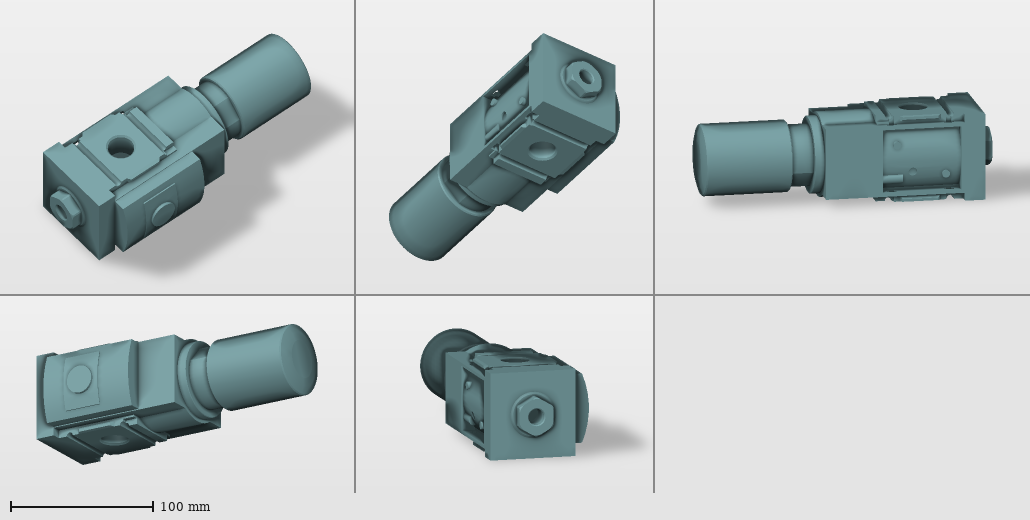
import cadquery as cq
import math


width = 62.0
half_width = width / 2
ledge_half_height = 25.3
housing_length = 114.0
flange_length = 14.5
barrel_radius = 30.1

pad_half_width = 24.3
pad_end = 76.3
port_y = 45.4
port_diameter = 18.6
port_mouth_diameter = 21.1
port_depth = 18.8
groove_offset = 22.0
groove_radius = 2.5
bar_half_width = 20.3
corner_notch_floor = 26.8

tab_reach = 2.7
tab_base_length = 29.7
tab_tip_length = 25.5
tab_thickness = 3.5
tab_chamfer = 1.3
tab_top_fall = 0.5

window_start = 17.1
window_end = 73.4
window_half_height = 23.0
window_back = 21.3
pin_diameter = 5.5
pin_reach = 30.3
upper_pin = (62.7, 11.0)
lower_pin = (27.8, -11.0)
socket_diameter = 6.0
socket_y = 51.5
socket_z = -8.5
socket_floor = 27.5
rod_diameter = 7.0
rod_length = 14.8
rod_x = -26.3
rod_z = -13.4

slot_offset = 20.5
slot_width = 7.1
slot_neck_width = 3.8
slot_outer = 27.2
slot_neck_inner = 22.2

collar_diameter = 55.0
collar_length = 7.0
neck_diameter = 44.0
neck_flat_distance = 20.0
neck_flat_angle = 45
neck_length = 15.5
knob_diameter = 51.0
knob_length = 63.8
knob_edge = 0.8
collar_edge = 0.5
dome_height = 2.3
dome_flat_radius = 13.5
neck_start = housing_length + collar_length
knob_start = neck_start + neck_length

seat_diameter = 33.0
seat_top_diameter = 30.1
seat_height = 1.0
hex_across_flats = 24.9
hex_round_diameter = 28.0
hex_chamfer = 1.0
exhaust_length = 9.0
exhaust_diameter = 11.5
exhaust_mouth_diameter = 13.0
exhaust_depth = 16.7

gauge_half_height = 24.7
gauge_end = 84.3
gauge_shoulder = 40.0
gauge_crown = 45.0
plate_half_height = 19.7
plate_length = 28.0
plate_thickness = 0.8
button_diameter = 20.0
total_width = 78.5
gauge_reach = total_width - half_width


def block(x_range, y_range, z_range):
    """Box given by its limits along each axis."""
    size = [high - low for low, high in (x_range, y_range, z_range)]
    corner = cq.Vector(x_range[0], y_range[0], z_range[0])
    return cq.Workplane(cq.Solid.makeBox(*size, corner))


def rod_along_y(radius, start, end, x=0, z=0):
    """Cylinder parallel to Y."""
    base = cq.Vector(x, start, z)
    return cq.Workplane(cq.Solid.makeCylinder(radius, end - start, base, cq.Vector(0, 1, 0)))


def turned_about_y(points):
    """Solid of revolution about Y from (radius, y) points."""
    return cq.Workplane("XY").polyline(points).close().revolve(360, (0, 0, 0), (0, 1, 0))


def both_sides_z(shape):
    """The shape together with its mirror image below the XY plane."""
    return shape.union(shape.mirror("XY"))


def beside_port(offset):
    """The two Y positions at an equal distance before and behind the port."""
    return [port_y - offset, port_y + offset]


def make_envelope():
    """Square flange, lower main block and the barrel that bulges from it."""
    flange = block((-half_width, half_width), (0, flange_length), (-half_width, half_width))
    main = block(
        (-half_width, half_width),
        (flange_length, housing_length),
        (-ledge_half_height, ledge_half_height),
    )
    barrel = rod_along_y(barrel_radius, pad_end, housing_length)
    return flange.union(main).union(barrel)


def make_pad():
    """Upper port pad with cross grooves, corner notches and end tabs."""
    pad = block((-pad_half_width, pad_half_width), (flange_length, pad_end), (0, half_width))
    for y in beside_port(groove_offset):
        groove = (
            cq.Workplane("YZ", origin=(-half_width, 0, 0))
            .center(y, half_width)
            .circle(groove_radius)
            .extrude(width)
        )
        pad = pad.cut(groove)
    notch_y = (port_y + groove_offset, pad_end)
    for side in (-1, 1):
        notch_x = sorted((side * bar_half_width, side * half_width))
        pad = pad.cut(block(notch_x, notch_y, (corner_notch_floor, half_width)))
        pad = pad.union(make_tab(side))
    return pad


def make_tab(side):
    """Tab with slanted ends, a falling top and a chamfered lower edge, on one end of the pad."""
    root = side * bar_half_width
    base = side * pad_half_width
    tip = side * (pad_half_width + tab_reach)
    bottom = half_width - tab_thickness
    outline = (
        cq.Workplane("XY", origin=(0, port_y, bottom))
        .moveTo(root, -tab_base_length / 2)
        .lineTo(base, -tab_base_length / 2)
        .lineTo(tip, -tab_tip_length / 2)
        .lineTo(tip, tab_tip_length / 2)
        .lineTo(base, tab_base_length / 2)
        .lineTo(root, tab_base_length / 2)
        .close()
        .extrude(tab_thickness)
    )
    section = (
        cq.Workplane("XZ", origin=(0, port_y, 0))
        .moveTo(root, bottom)
        .lineTo(root, half_width)
        .lineTo(base, half_width)
        .lineTo(tip, half_width - tab_top_fall)
        .lineTo(tip, bottom + tab_chamfer)
        .lineTo(tip - side * tab_chamfer, bottom)
        .close()
        .extrude(tab_base_length / 2, both=True)
    )
    return outline.intersect(section)


def make_port():
    """Blind upper port with a chamfered mouth."""
    mouth_chamfer = (port_mouth_diameter - port_diameter) / 2
    radius = port_diameter / 2
    return (
        cq.Workplane("XZ", origin=(0, port_y, 0))
        .polyline(
            [
                (0, half_width - port_depth),
                (radius, half_width - port_depth),
                (radius, half_width - mouth_chamfer),
                (radius + mouth_chamfer, half_width),
                (0, half_width),
            ]
        )
        .close()
        .revolve(360, (0, 0, 0), (0, 1, 0))
    )


def make_window():
    """Space between the window walls and the convex barrel behind them."""
    opening = block(
        (-half_width, -window_back),
        (window_start, window_end),
        (-window_half_height, window_half_height),
    )
    return opening.cut(rod_along_y(barrel_radius, window_start, window_end))


def make_window_slots():
    """Stepped slots that open the upper window wall beside the groove ends."""
    slots = cq.Workplane()
    heights = (window_half_height, half_width)
    for y in beside_port(slot_offset):
        wide_y = (y - slot_width / 2, y + slot_width / 2)
        neck_y = (y - slot_neck_width / 2, y + slot_neck_width / 2)
        slots = slots.add(block((-slot_outer, -pad_half_width), wide_y, heights))
        slots = slots.add(block((-slot_outer, -slot_neck_inner), neck_y, heights))
    return slots.combine()


def pin_along_x(diameter, y, z, inner, outer):
    """Cylinder parallel to X on the -X side, between two distances from the axis."""
    return (
        cq.Workplane("YZ", origin=(-outer, 0, 0))
        .center(y, z)
        .circle(diameter / 2)
        .extrude(outer - inner)
    )


def make_window_pins():
    """Two pins that stand on the barrel inside the window, and a rod along it."""
    pins = rod_along_y(rod_diameter / 2, window_end - rod_length, window_end, rod_x, rod_z)
    for y, z in (upper_pin, lower_pin):
        pins = pins.union(pin_along_x(pin_diameter, y, z, window_back, pin_reach))
    return pins


def make_window_socket():
    """Shallow round recess in the barrel between the two pins."""
    return pin_along_x(socket_diameter, socket_y, socket_z, socket_floor, half_width)


def make_knob():
    """Collar, neck with two diagonal flats, and the knob with its gently rounded end."""
    collar = rod_along_y(collar_diameter / 2, housing_length, neck_start)
    collar = collar.edges().chamfer(collar_edge)
    neck = rod_along_y(neck_diameter / 2, neck_start, knob_start)
    between_flats = block(
        (-neck_flat_distance, neck_flat_distance),
        (neck_start, knob_start),
        (-collar_diameter, collar_diameter),
    ).rotate((0, 0, 0), (0, 1, 0), -neck_flat_angle)
    neck = neck.intersect(between_flats)
    radius = knob_diameter / 2
    knob_end = knob_start + knob_length
    dome_base = knob_end - dome_height
    dome_base_radius = radius - knob_edge
    dome_run = dome_base_radius - dome_flat_radius
    dome_arc_radius = (dome_run**2 + dome_height**2) / (2 * dome_height)
    arc_middle = knob_end - dome_arc_radius + math.sqrt(dome_arc_radius**2 - (dome_run / 2) ** 2)
    knob = (
        cq.Workplane("XY")
        .moveTo(0, knob_start)
        .lineTo(radius - knob_edge, knob_start)
        .lineTo(radius, knob_start + knob_edge)
        .lineTo(radius, dome_base - knob_edge)
        .lineTo(dome_base_radius, dome_base)
        .threePointArc((dome_flat_radius + dome_run / 2, arc_middle), (dome_flat_radius, knob_end))
        .lineTo(0, knob_end)
        .close()
        .revolve(360, (0, 0, 0), (0, 1, 0))
    )
    return collar.union(neck).union(knob)


def make_exhaust():
    """Conical seat and hexagon with rounded, chamfered corners."""
    seat = turned_about_y(
        [
            (0, 0),
            (seat_diameter / 2, 0),
            (seat_top_diameter / 2, -seat_height),
            (0, -seat_height),
        ]
    )
    across_corners = hex_across_flats / math.cos(math.pi / 6)
    hexagon = (
        cq.Workplane("XZ")
        .polygon(6, across_corners)
        .extrude(exhaust_length)
        .rotate((0, 0, 0), (0, 1, 0), 30)
    )
    rounding = rod_along_y(hex_round_diameter / 2, -exhaust_length, 0).faces("<Y").chamfer(hex_chamfer)
    return seat.union(hexagon.intersect(rounding))


def make_exhaust_hole():
    """Blind exhaust hole with a chamfered mouth."""
    radius = exhaust_diameter / 2
    mouth_chamfer = (exhaust_mouth_diameter - exhaust_diameter) / 2
    return turned_about_y(
        [
            (0, -exhaust_length),
            (radius + mouth_chamfer, -exhaust_length),
            (radius, mouth_chamfer - exhaust_length),
            (radius, exhaust_depth - exhaust_length),
            (0, exhaust_depth - exhaust_length),
        ]
    )


def make_regulator():
    regulator = make_envelope().union(both_sides_z(make_pad()))
    regulator = regulator.cut(both_sides_z(make_port()))
    regulator = regulator.cut(make_window()).cut(both_sides_z(make_window_slots()))
    regulator = regulator.cut(make_window_socket()).union(make_window_pins())
    regulator = regulator.union(make_knob()).union(make_exhaust())
    return regulator.cut(make_exhaust_hole())


def make_gauge():
    """Gauge module with a curved face, a curved plate on it and a round button."""
    rise = gauge_crown - gauge_shoulder
    face_radius = (gauge_half_height**2 + rise**2) / (2 * rise)
    face_centre = gauge_crown - face_radius
    body = (
        cq.Workplane("XZ", origin=(0, gauge_end, 0))
        .moveTo(half_width, -gauge_half_height)
        .lineTo(gauge_shoulder, -gauge_half_height)
        .threePointArc((gauge_crown, 0), (gauge_shoulder, gauge_half_height))
        .lineTo(half_width, gauge_half_height)
        .close()
        .extrude(gauge_end - flange_length)
    )
    plate_y = (port_y - plate_length / 2, port_y + plate_length / 2)
    plate = rod_along_y(face_radius + plate_thickness, *plate_y, face_centre).intersect(
        block((half_width, gauge_reach), plate_y, (-plate_half_height, plate_half_height))
    )
    button = (
        cq.Workplane("YZ", origin=(half_width, port_y, 0))
        .circle(button_diameter / 2)
        .extrude(gauge_reach - half_width)
    )
    return body.union(plate).union(button)


regulator = make_regulator()
gauge = make_gauge()
result = cq.Compound.makeCompound([regulator.solids().val(), gauge.solids().val()])